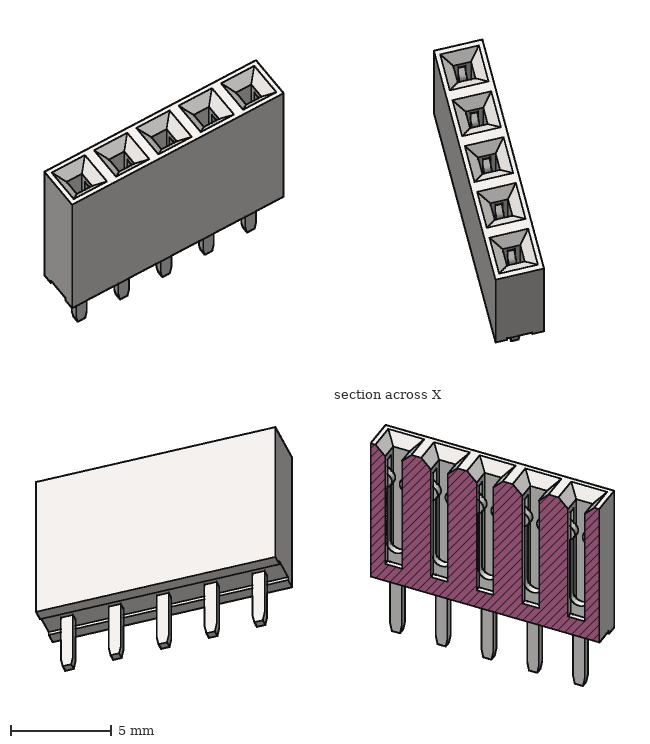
import cadquery as cq
import math

contact_count = 5
pitch = 2.54
housing_width = 2.5
housing_length = contact_count * pitch
housing_height = 8.5

channel_width = 1.3
channel_depth = 0.19

funnel_mouth = 2.0
cavity_width = 0.91
funnel_depth = 0.56
cavity_floor = 1.27
funnel_bottom = housing_height - funnel_depth

slot_roof_drop = 0.38
slot_roof = funnel_bottom - slot_roof_drop

contact_thickness = 0.4
fork_width = 1.4
pin_width = 0.65
pin_length = 3.01
pin_tip_width = 0.46
pin_tip_length = 0.48

tine_top = 6.86
lead_in_angle = 40.0
nose_gap = 0.43
nose_radius = 0.43
throat_gap = 1.02
throat_radius = throat_gap / 2
fork_base_height = 0.64
throat_bottom = cavity_floor + fork_base_height

contact_positions = [(i - (contact_count - 1) / 2) * pitch for i in range(contact_count)]


def box_between(width, length, bottom, top, y):
    """Upright box centred on X = 0 and the given Y."""
    return (
        cq.Workplane("XY", origin=(0, y, bottom))
        .rect(width, length)
        .extrude(top - bottom)
    )


def funnel(y):
    """Square funnel that narrows from the top face to the cavity."""
    return (
        cq.Workplane("XY", origin=(0, y, funnel_bottom))
        .rect(cavity_width, cavity_width)
        .workplane(offset=funnel_depth)
        .rect(funnel_mouth, funnel_mouth)
        .loft(ruled=True)
    )


def make_housing():
    housing = box_between(housing_width, housing_length, 0, housing_height, 0)
    housing = housing.cut(box_between(channel_width, housing_length, 0, channel_depth, 0))
    for y in contact_positions:
        housing = housing.cut(funnel(y))
        housing = housing.cut(box_between(cavity_width, cavity_width, cavity_floor, funnel_bottom, y))
        housing = housing.cut(box_between(contact_thickness, fork_width, cavity_floor, slot_roof, y))
        housing = housing.cut(box_between(contact_thickness, pin_width, 0, cavity_floor, y))
    return housing


def make_contact(y):
    """Fork and pin cut from one sheet, drawn in the YZ plane and centred on X = 0."""
    angle = math.radians(lead_in_angle)
    nose_center_y = nose_gap / 2 + nose_radius

    lead_end_y = nose_center_y - nose_radius * math.sin(angle)
    lead_end_z = tine_top - (fork_width / 2 - lead_end_y) * math.tan(angle)
    nose_z = lead_end_z - nose_radius * math.cos(angle)
    nose_end_z = nose_z - math.sqrt(nose_radius**2 - (nose_center_y - throat_gap / 2) ** 2)
    throat_center_z = throat_bottom + throat_radius

    outline = (
        cq.Workplane("YZ", origin=(-contact_thickness / 2, y, 0))
        .moveTo(-pin_tip_width / 2, -pin_length)
        .lineTo(pin_tip_width / 2, -pin_length)
        .lineTo(pin_width / 2, pin_tip_length - pin_length)
        .lineTo(pin_width / 2, cavity_floor)
        .lineTo(fork_width / 2, cavity_floor)
        .lineTo(fork_width / 2, tine_top)
        .lineTo(lead_end_y, lead_end_z)
        .threePointArc((nose_gap / 2, nose_z), (throat_gap / 2, nose_end_z))
        .lineTo(throat_gap / 2, throat_center_z)
        .threePointArc((0, throat_bottom), (-throat_gap / 2, throat_center_z))
        .lineTo(-throat_gap / 2, nose_end_z)
        .threePointArc((-nose_gap / 2, nose_z), (-lead_end_y, lead_end_z))
        .lineTo(-fork_width / 2, tine_top)
        .lineTo(-fork_width / 2, cavity_floor)
        .lineTo(-pin_width / 2, cavity_floor)
        .lineTo(-pin_width / 2, pin_tip_length - pin_length)
        .close()
    )
    return outline.extrude(contact_thickness)


housing = make_housing()
contacts = [make_contact(y) for y in contact_positions]

result = cq.Compound.makeCompound([housing.val(), *[contact.val() for contact in contacts]])